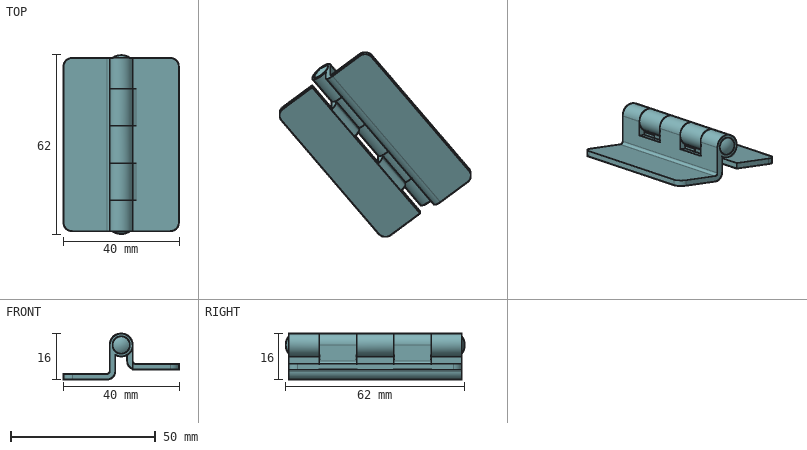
import cadquery as cq

hinge_length = 60.0
hinge_width = 40.0
sheet_thickness = 2.0
corner_radius = 3.0
barrel_radius = 4.0
pin_radius = 3.0
pin_dome_height = 1.0
axis_z = 12.0
bend_inner_radius = 1.0
knuckle_length = 12.9
left_plate_z = 0.0
right_plate_z = 3.5
slot_floor_z = 7.0

bend_outer_radius = bend_inner_radius + sheet_thickness
web_inner_x = barrel_radius - sheet_thickness
bend_end_x = barrel_radius + bend_inner_radius
half_width = hinge_width / 2
half_length = hinge_length / 2
slot_height = axis_z + barrel_radius - slot_floor_z

right_knuckle_centers = (-knuckle_length, knuckle_length)


def section_plane(center_y, length):
    """XZ workplane on the far end of a stretch of hinge, so it extrudes toward -Y."""
    return cq.Workplane("XZ", origin=(0, center_y + length / 2, 0))


def plate(inner_x, bottom_z):
    """Flat plate on the +X side, from inner_x to the outer edge, with rounded outer corners."""
    return (
        cq.Workplane("XY", origin=(0, 0, bottom_z))
        .moveTo(inner_x, -half_length)
        .lineTo(half_width, -half_length)
        .lineTo(half_width, half_length)
        .lineTo(inner_x, half_length)
        .close()
        .extrude(sheet_thickness)
        .edges("|Z and >X")
        .fillet(corner_radius)
    )


def bent_web(center_y, length, bottom_z):
    """Upright web on the +X side and the bend that turns it outward into a plate."""
    bend_z = bottom_z + bend_outer_radius
    return (
        section_plane(center_y, length)
        .moveTo(web_inner_x, axis_z)
        .lineTo(web_inner_x, bend_z)
        .radiusArc((bend_end_x, bottom_z), -bend_outer_radius)
        .lineTo(bend_end_x, bottom_z + sheet_thickness)
        .radiusArc((barrel_radius, bend_z), bend_inner_radius)
        .lineTo(barrel_radius, axis_z)
        .close()
        .extrude(length)
    )


def cylinder_on_axis(radius, center_y, length):
    """Solid cylinder along the hinge axis."""
    return section_plane(center_y, length).center(0, axis_z).circle(radius).extrude(length)


def knuckled_web(center_y, length, bottom_z):
    """Web and bend topped by a barrel that is bored for the pin."""
    barrel = cylinder_on_axis(barrel_radius, center_y, length)
    bore = cylinder_on_axis(pin_radius, center_y, length)
    return bent_web(center_y, length, bottom_z).union(barrel).cut(bore)


def make_left_leaf():
    """Lower leaf: a full-length knuckled web, slotted to clear the right knuckles."""
    leaf = knuckled_web(0, hinge_length, left_plate_z).union(plate(bend_end_x, left_plate_z))
    for center_y in right_knuckle_centers:
        slot = cq.Workplane("XY", origin=(0, center_y, slot_floor_z)).box(
            2 * barrel_radius, knuckle_length, slot_height, centered=(True, True, False)
        )
        leaf = leaf.cut(slot)
    return leaf.mirror("YZ")


def make_right_leaf():
    """Upper leaf: its plate ends at the barrel side and carries two knuckles."""
    leaf = plate(barrel_radius, right_plate_z)
    for center_y in right_knuckle_centers:
        leaf = leaf.union(knuckled_web(center_y, knuckle_length, right_plate_z))
    return leaf


def make_pin():
    """Straight pin with a shallow spherical dome beyond each end of the barrel."""
    dome_tip_y = half_length + pin_dome_height
    dome_radius = (pin_radius**2 + pin_dome_height**2) / (2 * pin_dome_height)
    return (
        cq.Workplane("XY", origin=(0, 0, axis_z))
        .moveTo(0, -dome_tip_y)
        .radiusArc((pin_radius, -half_length), -dome_radius)
        .lineTo(pin_radius, half_length)
        .radiusArc((0, dome_tip_y), -dome_radius)
        .close()
        .revolve(360, (0, 0, 0), (0, 1, 0))
    )


left_leaf = make_left_leaf()
right_leaf = make_right_leaf()
pin = make_pin()

result = cq.Compound.makeCompound([left_leaf.val(), right_leaf.val(), pin.val()])